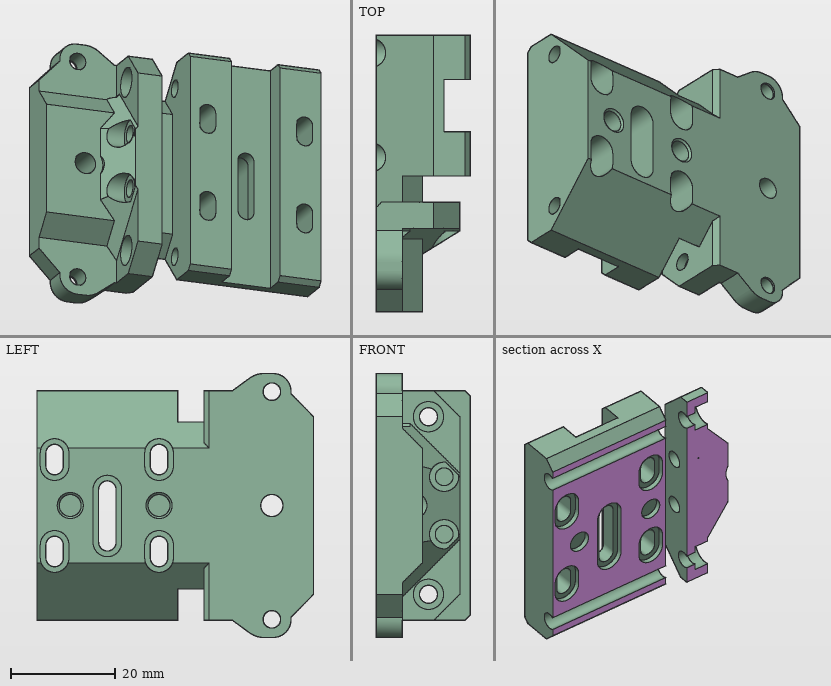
import cadquery as cq
import math

length = 53.0
body_depth = 18.0
half_height = 22.0

plate_thickness = 5.0
plate_back_y = 21.0
plate_back_chamfer = 1.0
plate_front_half = 17.0
lobe_top = 25.3
lobe_front_radius = 3.5
lobe_front_y = 7.8
lobe_corner_z = 21.4
lobe_back_radius = 4.7
lobe_back_y = 9.5
lobe_foot_y = 15.55
lobe_slope = math.radians(36)
plate_hole_y = 8.0
lobe_hole_z = 21.8
lobe_hole_diameter = 3.3
lobe_mouth_diameter = 3.4
lobe_mouth_depth = 0.4
centre_hole_diameter = 4.2
centre_head_diameter = 7.2

body_start_y = 26.0
body_bevel = 11.0
body_back_chamfer = 1.0
notch_start_y = 34.5
notch_end_y = 44.5
notch_floor_x = 13.0

block_depth = 8.9
block_half = 14.8
block_end_y = 14.0

wall_start_y = 16.0
wall_depth = 16.0
wall_corner = 5.0

gusset_foot_y = 11.1
gusset_lip_y = 15.5
upper_reach = 22.2
lower_reach = 22.5
relief_z = 15.1
relief_lip_z = 15.7

screw_diameter = 3.4
outer_screw_x = 10.0
outer_screw_z = 17.0
outer_head_diameter = 5.8
outer_head_depth = 3.0
inner_screw_x = 13.0
inner_screw_z = 5.5
inner_head_diameter = 5.6

slot_width = 3.3
slot_head_width = 5.5
slot_head_depth = 10.0
short_slot_length = 5.8
short_slot_z = 8.8
long_slot_length = 13.4
long_slot_y = 39.5
long_slot_z = -2.0
slot_rows_y = (29.6, 49.6)
blind_holes_y = (29.6, 46.6)
blind_diameter = 4.2
blind_mouth_diameter = 5.0
blind_depth = 10.0


def block(x_range, y_range, z_range):
    """Box given by its limits along each axis."""
    sizes = [high - low for low, high in (x_range, y_range, z_range)]
    corner = (x_range[0], y_range[0], z_range[0])
    return cq.Workplane("XY").box(*sizes, centered=False).translate(corner)


def both_sides(outline):
    """Closed outline points made from the upper half and its mirror image."""
    return outline + [(u, -v) for u, v in reversed(outline)]


def prism_along_y(points, y_start, y_end):
    """Solid with the given XZ outline between two Y positions."""
    plane = cq.Workplane("XZ", origin=(0, y_start, 0))
    return plane.polyline(points).close().extrude(y_start - y_end)


def cylinder_x(diameter, y, z, x_start, x_end):
    plane = cq.Workplane("YZ", origin=(x_start, y, z))
    return plane.circle(diameter / 2).extrude(x_end - x_start)


def cylinder_y(diameter, x, z, y_start, y_end):
    plane = cq.Workplane("XZ", origin=(x, y_start, z))
    return plane.circle(diameter / 2).extrude(y_start - y_end)


def slot_x(slot_length, width, y, z, x_end):
    """Rounded slot, long along Z, cut from x = 0."""
    plane = cq.Workplane("YZ", origin=(0, y, z))
    return plane.slot2D(slot_length, width, 90).extrude(x_end)


def lobe():
    """Rounded screw lobe on the upper edge of the plate, with its front corner slope."""
    front_mid = math.radians(135)
    back_start_y = lobe_back_y + lobe_back_radius * math.sin(lobe_slope)
    back_z = lobe_top - lobe_back_radius
    back_start_z = back_z + lobe_back_radius * math.cos(lobe_slope)
    back_mid = (
        lobe_back_y + lobe_back_radius * math.sin(lobe_slope / 2),
        back_z + lobe_back_radius * math.cos(lobe_slope / 2),
    )
    front_z = lobe_top - lobe_front_radius
    front_arc_mid = (
        lobe_front_y + lobe_front_radius * math.cos(front_mid),
        front_z + lobe_front_radius * math.sin(front_mid),
    )
    front_edge_y = lobe_front_y - lobe_front_radius
    outline = (
        cq.Workplane("YZ")
        .moveTo(0, 0)
        .lineTo(lobe_foot_y, 0)
        .lineTo(lobe_foot_y, half_height)
        .lineTo(back_start_y, back_start_z)
        .threePointArc(back_mid, (lobe_back_y, lobe_top))
        .lineTo(lobe_front_y, lobe_top)
        .threePointArc(front_arc_mid, (front_edge_y, front_z))
        .lineTo(front_edge_y, lobe_corner_z)
        .lineTo(0, plate_front_half)
        .close()
    )
    return outline.extrude(plate_thickness)


def front_plate():
    profile = [
        (0, lobe_foot_y),
        (0, plate_back_y - plate_back_chamfer),
        (plate_back_chamfer, plate_back_y),
        (plate_thickness, plate_back_y),
        (plate_thickness, lobe_foot_y),
    ]
    strip = cq.Workplane("XY").polyline(profile).close().extrude(half_height, both=True)
    upper_lobe = lobe()
    return strip.union(upper_lobe).union(upper_lobe.mirror("XY"))


def rear_body():
    outline = both_sides([
        (0, half_height - body_bevel),
        (body_bevel, half_height),
        (body_depth - body_back_chamfer, half_height),
        (body_depth, half_height - body_back_chamfer),
    ])
    notch = block(
        (notch_floor_x, body_depth), (notch_start_y, notch_end_y), (-half_height, half_height)
    )
    return prism_along_y(outline, body_start_y, length).cut(notch)


def stem():
    """Neck between the wall and the rear body, bevelled at 45 degrees on both faces."""
    foot_half = half_height - body_bevel
    widest_half = foot_half + plate_thickness
    back_half = widest_half - (block_depth - plate_thickness)
    outline = both_sides([
        (0, foot_half),
        (plate_thickness, widest_half),
        (block_depth, back_half),
    ])
    return prism_along_y(outline, wall_start_y, body_start_y)


def stiffening_block():
    bevel = block_depth - plate_thickness
    outline = both_sides([(plate_thickness, block_half), (block_depth, block_half - bevel)])
    return prism_along_y(outline, 0, wall_start_y)


def wall():
    outline = both_sides([
        (plate_back_chamfer, half_height),
        (wall_depth - wall_corner, half_height),
        (wall_depth, half_height - wall_corner),
    ])
    return prism_along_y(outline, wall_start_y, plate_back_y)


def gusset_side(reach):
    """Space below a sloped plane, where x + z grows from the block bevel to the reach at the wall."""
    wall_sum = reach / math.sqrt(2)
    block_sum = (plate_thickness + block_half) / math.sqrt(2)
    growth = (wall_sum - block_sum) / (wall_start_y - block_end_y)
    tip_y = wall_start_y - wall_sum / growth
    profile = [
        (-body_depth, tip_y - body_depth / growth),
        (wall_sum, wall_start_y),
        (-body_depth, wall_start_y),
    ]
    diagonal = cq.Plane(origin=(0, 0, 0), xDir=(1, 0, 1), normal=(-1, 0, 1))
    return cq.Workplane(diagonal).polyline(profile).close().extrude(length, both=True)


def gusset():
    """Wedge in front of the wall, with sloped sides and a relief across its upper corner."""
    slope = (gusset_lip_y - gusset_foot_y) / (wall_depth - block_depth)
    root_y = gusset_lip_y - slope * (wall_depth - plate_thickness)
    front_profile = [
        (plate_thickness, wall_start_y),
        (plate_thickness, root_y),
        (wall_depth, gusset_lip_y),
        (wall_depth, wall_start_y),
    ]
    wedge = (
        cq.Workplane("XY").polyline(front_profile).close().extrude(half_height, both=True)
    )
    wedge = wedge.intersect(gusset_side(upper_reach))
    wedge = wedge.intersect(gusset_side(lower_reach).mirror("XY"))
    relief_profile = [
        (0, relief_z),
        (gusset_lip_y, relief_z),
        (wall_start_y, relief_lip_z),
        (wall_start_y, half_height),
        (0, half_height),
    ]
    relief = cq.Workplane("YZ").polyline(relief_profile).close().extrude(body_depth)
    return wedge.cut(relief)


def cut_plate_holes(part):
    part = part.cut(cylinder_x(centre_hole_diameter, plate_hole_y, 0, 0, body_depth))
    part = part.cut(cylinder_x(centre_head_diameter, plate_hole_y, 0, block_depth, body_depth))
    for side in (-1, 1):
        z = side * lobe_hole_z
        part = part.cut(cylinder_x(lobe_hole_diameter, plate_hole_y, z, 0, plate_thickness))
        part = part.cut(cylinder_x(lobe_mouth_diameter, plate_hole_y, z, 0, lobe_mouth_depth))
    return part


def cut_wall_screws(part):
    outer_floor = wall_start_y + outer_head_depth
    for side in (-1, 1):
        z = side * outer_screw_z
        part = part.cut(cylinder_y(screw_diameter, outer_screw_x, z, 0, length))
        part = part.cut(cylinder_y(outer_head_diameter, outer_screw_x, z, 0, outer_floor))
        z = side * inner_screw_z
        part = part.cut(cylinder_y(screw_diameter, inner_screw_x, z, 0, plate_back_y))
        part = part.cut(cylinder_y(inner_head_diameter, inner_screw_x, z, 0, gusset_lip_y))
    return part


def cut_stepped_slot(part, slot_length, y, z):
    head_length = slot_length + slot_head_width - slot_width
    part = part.cut(slot_x(slot_length, slot_width, y, z, body_depth))
    return part.cut(slot_x(head_length, slot_head_width, y, z, slot_head_depth))


def cut_body_slots(part):
    part = cut_stepped_slot(part, long_slot_length, long_slot_y, long_slot_z)
    for y in slot_rows_y:
        for side in (-1, 1):
            part = cut_stepped_slot(part, short_slot_length, y, side * short_slot_z)
    return part


def cut_blind_holes(part):
    """Blind holes with a 45 degree countersunk mouth."""
    mouth_depth = (blind_mouth_diameter - blind_diameter) / 2
    for y in blind_holes_y:
        part = part.cut(cylinder_x(blind_diameter, y, 0, 0, blind_depth))
        mouth = cq.Solid.makeCone(
            blind_mouth_diameter / 2, blind_diameter / 2, mouth_depth,
            cq.Vector(0, y, 0), cq.Vector(1, 0, 0),
        )
        part = part.cut(cq.Workplane(mouth))
    return part


result = front_plate()
for piece in (stem(), rear_body(), stiffening_block(), wall(), gusset()):
    result = result.union(piece)
result = cut_plate_holes(result)
result = cut_wall_screws(result)
result = cut_body_slots(result)
result = cut_blind_holes(result)